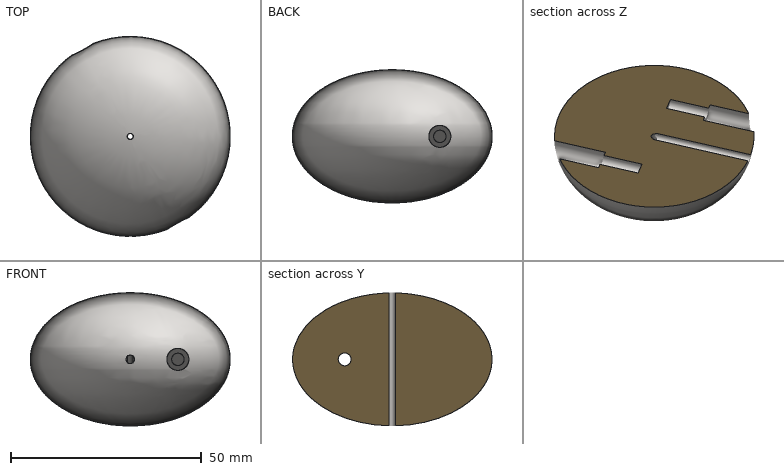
import cadquery as cq

body_diameter = 52.45
body_height = 35.0
body_radius = body_diameter / 2
half_height = body_height / 2

axis_hole_diameter = 1.5

side_hole_diameter = 2.2

bore_offset = 12.5
bore_diameter = 5.75
bore_floor_y = -10.5
pilot_diameter = 3.25


def ellipsoid():
    """Revolve a half ellipse about the Z axis."""
    profile = (
        cq.Workplane("XZ")
        .moveTo(0, -half_height)
        .ellipseArc(body_radius, half_height, -90, 90, startAtCurrent=True)
        .close()
    )
    return profile.revolve(360, (0, 0, 0), (0, 1, 0))


def hole_from_front(x, diameter, floor_y):
    """Cylinder running from the -Y side of the body inwards to floor_y."""
    depth = body_radius + floor_y
    return cq.Workplane("XZ", origin=(x, floor_y, 0)).circle(diameter / 2).extrude(depth)


def stepped_hole():
    """Wide bore with a narrower pilot continuing to the middle plane."""
    bore = hole_from_front(bore_offset, bore_diameter, bore_floor_y)
    pilot = hole_from_front(bore_offset, pilot_diameter, 0)
    return bore.union(pilot)


axis_hole = cq.Workplane("XY").circle(axis_hole_diameter / 2).extrude(half_height, both=True)

result = (
    ellipsoid()
    .cut(axis_hole)
    .cut(hole_from_front(0, side_hole_diameter, 0))
)

for turn in (0, 180):
    result = result.cut(stepped_hole().rotate((0, 0, 0), (0, 0, 1), turn))